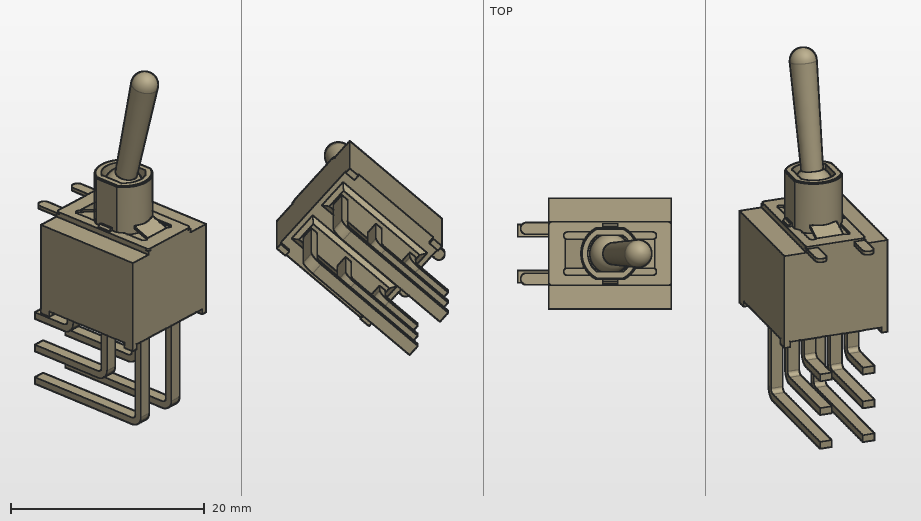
import cadquery as cq
import math


TOTAL_X = 15.9
TOTAL_Z = 39.6
LOWEST_Z = -10.5

BODY_X = 12.68
BODY_Y = 11.45
BODY_TOP = 10.35
FOOT_X = 1.2
FOOT_Y = 0.65
FOOT_HEIGHT = 0.6

PIN_COLUMNS = 3
PIN_PITCH_X = 4.67
PIN_PITCH_Y = 4.75
PIN_WIDTH = 1.3
PIN_THICKNESS = 0.8
PIN_BEND = 0.48
PIN_END_X = BODY_X / 2 - TOTAL_X
PIN_DROP = 3.8

MOUND_X = 11.55
MOUND_Y = 3.33
MOUND_HEIGHT = 0.55
MOUND_TAPER = 45
NUB_RADIUS = 0.35
NUB_HEIGHT = 0.35
NUB_TIP = 0.15

BRACKET_Y = 6.58
STRIP_THICKNESS = 0.4
PLATE_THICKNESS = 0.25
PLATE_CORNER = 0.35
PLATE_TOP = BODY_TOP + STRIP_THICKNESS + PLATE_THICKNESS
LUG_LENGTH = 2.9
LUG_WIDTH = 1.23
LUG_PITCH = 5.23
LUG_CORNER = 0.6

SLOT_LENGTH = 9.6
SLOT_WIDTH = 0.75
SLOT_PITCH = 3.72
LANCE_HINGE_X = 4.65
LANCE_TIP_X = 2.77
LANCE_RISE = 0.7
LANCE_WIDTH = SLOT_PITCH - SLOT_WIDTH

BUSHING_RADIUS = 3.0
BUSHING_FLATS = 5.3
BUSHING_TOP = 16.4
BUSHING_CHAMFER = 0.1
BORE_RADIUS = 2.3
BORE_FLATS = 3.75
KEY_X = 1.55
KEY_REACH = 3.1
KEY_HEIGHT = 0.3
KEY_CHAMFER = 0.25

PIVOT_Z = 14.75
BALL_RADIUS = 2.1
LEVER_TILT = 12.6
STEM_BASE_RADIUS = 1.1
TIP_RADIUS = 1.43
TIP_Z = LOWEST_Z + TOTAL_Z - TIP_RADIUS
STEM_LENGTH = (TIP_Z - PIVOT_Z) / math.cos(math.radians(LEVER_TILT))


def plate(size_x, size_y, bottom, height):
    """Rectangular block centred on the Z axis."""
    return cq.Workplane("XY").workplane(offset=bottom).rect(size_x, size_y).extrude(height)


def flatted_cylinder(radius, across_flats, bottom, top):
    """Upright cylinder with two flats facing -Y and +Y."""
    height = top - bottom
    cylinder = cq.Workplane("XY").workplane(offset=bottom).circle(radius).extrude(height)
    return cylinder.intersect(plate(2 * radius, across_flats, bottom, height))


def make_housing():
    """Box standing on four corner feet."""
    housing = plate(BODY_X, BODY_Y, FOOT_HEIGHT, BODY_TOP - FOOT_HEIGHT)
    feet = (
        cq.Workplane("XY")
        .rect(BODY_X - FOOT_X, BODY_Y - FOOT_Y, forConstruction=True)
        .vertices()
        .rect(FOOT_X, FOOT_Y)
        .extrude(FOOT_HEIGHT)
    )
    return housing.union(feet)


def make_underside():
    """Two tapered sealing mounds and the pointed nub between them."""
    mounds = (
        cq.Workplane("XY", origin=(0, 0, FOOT_HEIGHT))
        .rarray(0.4, PIN_PITCH_Y, 1, 2)
        .rect(MOUND_X, MOUND_Y)
        .extrude(-MOUND_HEIGHT, taper=MOUND_TAPER)
    )
    nub = (
        cq.Workplane("XZ")
        .moveTo(0, FOOT_HEIGHT)
        .lineTo(NUB_RADIUS, FOOT_HEIGHT)
        .lineTo(NUB_RADIUS, FOOT_HEIGHT - NUB_HEIGHT)
        .lineTo(0, FOOT_HEIGHT - NUB_HEIGHT - NUB_TIP)
        .close()
        .revolve(360, (0, 0), (0, 1))
    )
    return mounds.union(nub)


def make_pin(column, y):
    """L-shaped terminal; each column towards +X reaches one step lower."""
    outer_x = (column - (PIN_COLUMNS - 1) / 2) * PIN_PITCH_X + PIN_THICKNESS / 2
    inner_x = outer_x - PIN_THICKNESS
    bottom = LOWEST_Z + (PIN_COLUMNS - 1 - column) * PIN_DROP
    top = bottom + PIN_THICKNESS
    outer_bend = PIN_BEND + PIN_THICKNESS
    return (
        cq.Workplane("XZ", origin=(0, y + PIN_WIDTH / 2, 0))
        .moveTo(PIN_END_X, bottom)
        .lineTo(outer_x - outer_bend, bottom)
        .radiusArc((outer_x, bottom + outer_bend), -outer_bend)
        .lineTo(outer_x, FOOT_HEIGHT)
        .lineTo(inner_x, FOOT_HEIGHT)
        .lineTo(inner_x, top + PIN_BEND)
        .radiusArc((inner_x - PIN_BEND, top), PIN_BEND)
        .lineTo(PIN_END_X, top)
        .close()
        .extrude(PIN_WIDTH)
    )


def make_bracket():
    """Ground strip with lugs towards -X, topped by the slotted lance plate."""
    strip = plate(BODY_X, BRACKET_Y, BODY_TOP, STRIP_THICKNESS)
    lugs = (
        cq.Workplane("XY", origin=(-(BODY_X + LUG_LENGTH) / 2, 0, BODY_TOP))
        .rarray(0.4, LUG_PITCH, 1, 2)
        .rect(LUG_LENGTH, LUG_WIDTH)
        .extrude(STRIP_THICKNESS)
        .edges("|Z and <X")
        .fillet(LUG_CORNER)
    )
    plate_bottom = PLATE_TOP - PLATE_THICKNESS
    cover = plate(BODY_X, BRACKET_Y, plate_bottom, PLATE_THICKNESS).edges("|Z").fillet(PLATE_CORNER)
    slots = (
        cq.Workplane("XY", origin=(0, 0, plate_bottom))
        .rarray(0.4, SLOT_PITCH, 1, 2)
        .slot2D(SLOT_LENGTH, SLOT_WIDTH)
        .extrude(PLATE_THICKNESS)
    )
    window = plate(2 * LANCE_HINGE_X, LANCE_WIDTH, plate_bottom, PLATE_THICKNESS)
    return strip.union(lugs).union(cover.cut(slots).cut(window))


def make_lance(side):
    """Strip hinged at the plate and rising to the bushing; side is -1 or +1."""
    hinge_x = side * LANCE_HINGE_X
    tip_x = side * LANCE_TIP_X
    tip_z = PLATE_TOP + LANCE_RISE
    return (
        cq.Workplane("XZ", origin=(0, LANCE_WIDTH / 2, 0))
        .moveTo(hinge_x, PLATE_TOP - PLATE_THICKNESS)
        .lineTo(hinge_x, PLATE_TOP)
        .lineTo(tip_x, tip_z)
        .lineTo(tip_x, tip_z - PLATE_THICKNESS)
        .close()
        .extrude(LANCE_WIDTH)
    )


def make_bushing():
    """Double-flatted bushing with a matching bore and two keys at the base of its flats."""
    base = PLATE_TOP - PLATE_THICKNESS
    bushing = flatted_cylinder(BUSHING_RADIUS, BUSHING_FLATS, base, BUSHING_TOP)
    bushing = bushing.faces(">Z").chamfer(BUSHING_CHAMFER)
    keys = plate(KEY_X, 2 * KEY_REACH, base, PLATE_THICKNESS + KEY_HEIGHT)
    keys = keys.edges("|X and >Z").chamfer(KEY_CHAMFER)
    bore = flatted_cylinder(BORE_RADIUS, BORE_FLATS, PIVOT_Z, BUSHING_TOP)
    return bushing.union(keys).cut(bore)


def make_lever():
    """Pivot ball, widening stem and domed tip, tilted towards +X."""
    ball = cq.Workplane("XY").sphere(BALL_RADIUS)
    stem = (
        cq.Workplane("XZ")
        .lineTo(STEM_BASE_RADIUS, 0)
        .lineTo(TIP_RADIUS, STEM_LENGTH)
        .radiusArc((0, STEM_LENGTH + TIP_RADIUS), -TIP_RADIUS)
        .close()
        .revolve(360, (0, 0), (0, 1))
    )
    lever = ball.union(stem).rotate((0, 0, 0), (0, 1, 0), LEVER_TILT)
    return lever.translate((0, 0, PIVOT_Z))


result = make_housing().union(make_underside()).union(make_bracket())
for column in range(PIN_COLUMNS):
    for row in (-1, 1):
        result = result.union(make_pin(column, row * PIN_PITCH_Y / 2))
for side in (-1, 1):
    result = result.union(make_lance(side))
result = result.union(make_bushing()).union(make_lever())